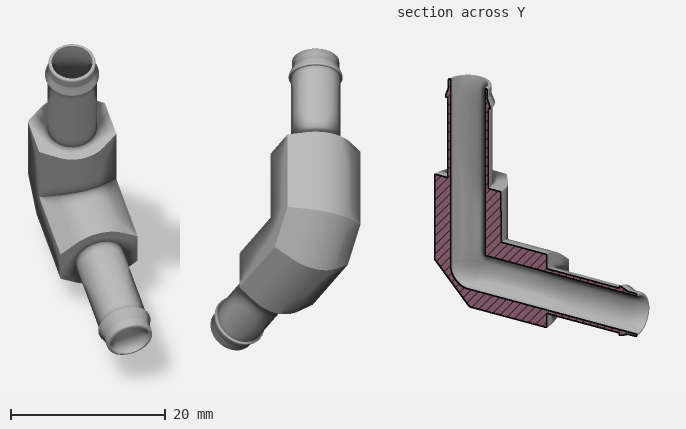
import cadquery as cq
import math

overall = 31.5
body_width = 10.4
arm_end = 17.48
corner_height = 7.6
tube_diameter = 6.4
tip_diameter = 6.1
barb_diameter = 7.0
bore_diameter = 5.3
tip_length = 1.4
barb_back = 2.77
barb_land = 0.25
tip_round = 0.28
barb_back_round = 0.1
barb_blend = 0.3

radius = body_width / 2
flat_half = radius / 2
bevel_angle = 2 * math.atan2(radius, flat_half) - math.pi / 2
round_x = radius * math.cos(bevel_angle)
round_y = radius * math.sin(bevel_angle)

axis = radius
run = overall - axis


def rounded_side(plane):
    """Open outline of the section's +x side, from its top flat to its bottom flat."""
    return (
        cq.Workplane(plane)
        .moveTo(flat_half, radius)
        .lineTo(round_x, round_y)
        .threePointArc((radius, 0), (round_x, -round_y))
        .lineTo(flat_half, -radius)
    )


def body_section(plane):
    return (
        rounded_side(plane)
        .lineTo(-flat_half, -radius)
        .lineTo(-round_x, -round_y)
        .threePointArc((-radius, 0), (-round_x, round_y))
        .lineTo(-flat_half, radius)
        .close()
    )


def elbow_body():
    """Two arms mitred at a right angle."""
    path = (
        cq.Workplane("XZ")
        .moveTo(axis, arm_end)
        .lineTo(axis, axis)
        .lineTo(arm_end, axis)
    )
    top_plane = cq.Plane(origin=(axis, 0, arm_end), xDir=(1, 0, 0), normal=(0, 0, 1))
    return body_section(top_plane).sweep(path, transition="right")


def corner_envelope():
    """Diagonal prism with the body section on its outer side and open space inside."""
    middle = (axis + corner_height) / 2
    plane = cq.Plane(origin=(middle, 0, middle), xDir=(-1, 0, -1), normal=(1, 0, -1))
    return (
        rounded_side(plane)
        .lineTo(-overall, -radius)
        .lineTo(-overall, radius)
        .close()
        .extrude(overall, both=True)
    )


def level_selector(height):
    """Selects whatever lies flat at the given height."""
    reach = barb_diameter
    margin = 0.03
    return cq.selectors.BoxSelector(
        (-reach, -reach, height - margin), (reach, reach, height + margin), boundingbox=True
    )


def barbed_tube():
    """Solid hose tube along +Z, from the crossing of the axes (origin) to its open end."""
    tube_r = tube_diameter / 2
    tip_r = tip_diameter / 2
    barb_r = barb_diameter / 2
    cone_start = run - tip_length
    land_back = run - barb_back
    tube = (
        cq.Workplane("XZ")
        .lineTo(tube_r, 0)
        .lineTo(tube_r, land_back)
        .lineTo(barb_r, land_back)
        .lineTo(barb_r, land_back + barb_land)
        .lineTo(tip_r, cone_start)
        .lineTo(tip_r, run)
        .lineTo(0, run)
        .close()
        .revolve(360, (0, 0, 0), (0, 1, 0))
    )
    tube = tube.edges(level_selector(cone_start)).fillet(barb_blend)
    barb_rim = tube.faces(level_selector(land_back)).edges(cq.selectors.RadiusNthSelector(-1))
    tube = barb_rim.fillet(barb_back_round)
    return tube.faces(">Z").edges().fillet(tip_round)


def bore():
    """Straight bore along +Z with a ball end where the two bores meet."""
    ball = cq.Workplane("XY").sphere(bore_diameter / 2)
    return cq.Workplane("XY").circle(bore_diameter / 2).extrude(run).union(ball)


def on_both_arms(shape):
    upright = shape.translate((axis, 0, axis))
    level = shape.rotate((0, 0, 0), (0, 1, 0), 90).translate((axis, 0, axis))
    return upright, level


result = elbow_body().intersect(corner_envelope())
for tube in on_both_arms(barbed_tube()):
    result = result.union(tube)
for hole in on_both_arms(bore()):
    result = result.cut(hole)